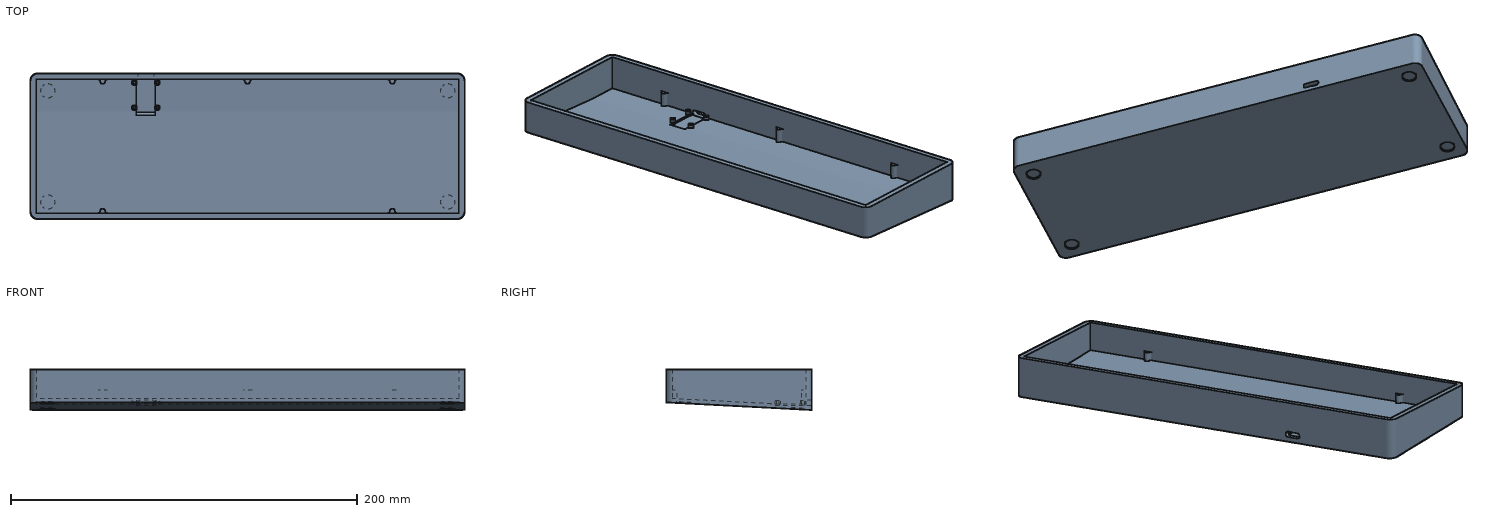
import cadquery as cq
import math

length = 250.89
width = 84.2
height = 23.54
corner_radius = 4.5
wall = 3.55
slope_angle = 3.0

level_floor_z = 3.8
level_floor_front_y = 20.0

post_diameter = 3.0
post_blend_radius = 1.0
post_top_z = 11.8
post_root_depth = 1.0
post_spacing = length / 3
back_post_columns = (-1, 0, 1)
front_post_columns = (-1, 1)

board_x = -58.7
recess_width = 10.8
recess_depth = 1.0
recess_front_y = 17.8
ramp_angle = 30.0

standoff_diameter = 3.0
standoff_hole_diameter = 1.6
standoff_height = 2.0
standoff_spacing_x = 13.2
standoff_spacing_y = 14.5
standoff_center_y = 29.5

port_width = 9.2
port_height = 3.2
port_bottom_z = 2.9

foot_diameter = 8.2
foot_depth = 1.0
foot_inset = 10.0

slope = math.tan(math.radians(slope_angle))
inner_length = length - 2 * wall
inner_back_y = width / 2 - wall
recess_floor_z = level_floor_z - recess_depth


def underside_z(y):
    return (width / 2 - y) * slope


def floor_z(y):
    return level_floor_z + max(0, level_floor_front_y - y) * slope


def extrude_along_x(points, size_x, center_x=0.0):
    """Prism with a closed (y, z) outline, centered on center_x."""
    profile = cq.Workplane("YZ", origin=(center_x, 0, 0)).polyline(points).close()
    return profile.extrude(size_x / 2, both=True)


def make_body():
    side = [
        (width / 2, underside_z(width / 2)),
        (width / 2, height),
        (-width / 2, height),
        (-width / 2, underside_z(-width / 2)),
    ]
    return extrude_along_x(side, length).edges("|Z").fillet(corner_radius)


def make_cavity():
    side = [
        (inner_back_y, height),
        (inner_back_y, level_floor_z),
        (level_floor_front_y, level_floor_z),
        (-inner_back_y, floor_z(-inner_back_y)),
        (-inner_back_y, height),
    ]
    return extrude_along_x(side, inner_length)


def make_back_post(x, floor_level):
    """Half-round post on the back wall, rooted in the wall and the floor."""
    radius = post_diameter / 2
    blend = post_blend_radius
    half_base = radius + blend
    nose_center_y = inner_back_y - blend
    blend_mid = blend * (1 - math.sqrt(0.5))
    root_y = inner_back_y + wall / 2
    root_z = floor_level - post_root_depth
    outline = (
        cq.Workplane("XY", origin=(x, 0, root_z))
        .moveTo(-half_base, root_y)
        .lineTo(-half_base, inner_back_y)
        .threePointArc((-radius - blend_mid, inner_back_y - blend_mid), (-radius, nose_center_y))
        .threePointArc((0, nose_center_y - radius), (radius, nose_center_y))
        .threePointArc((radius + blend_mid, inner_back_y - blend_mid), (half_base, inner_back_y))
        .lineTo(half_base, root_y)
        .close()
    )
    return outline.extrude(post_top_z - root_z)


def make_front_post(x):
    return make_back_post(x, floor_z(-inner_back_y)).mirror("XZ")


def make_recess():
    front_z = floor_z(recess_front_y)
    ramp_length = (front_z - recess_floor_z) / math.tan(math.radians(ramp_angle))
    side = [
        (inner_back_y, front_z),
        (inner_back_y, recess_floor_z),
        (recess_front_y + ramp_length, recess_floor_z),
        (recess_front_y, front_z),
    ]
    return extrude_along_x(side, recess_width, board_x)


def make_standoff_cylinders(diameter, bottom_z):
    """Four cylinders from bottom_z up to the tops of the standoffs."""
    plane = cq.Workplane("XY", origin=(board_x, standoff_center_y, bottom_z))
    places = plane.rect(standoff_spacing_x, standoff_spacing_y, forConstruction=True).vertices()
    return places.circle(diameter / 2).extrude(level_floor_z + standoff_height - bottom_z)


def make_port():
    center_z = port_bottom_z + port_height / 2
    plane = cq.Workplane("XZ", origin=(board_x, inner_back_y, center_z))
    return plane.slot2D(port_width, port_height).extrude(-wall)


def make_foot_recess(x, y):
    """Round pocket square to the sloping underside."""
    cutter = cq.Workplane("XY").circle(foot_diameter / 2).extrude(foot_depth, both=True)
    tilted = cutter.rotate((0, 0, 0), (1, 0, 0), -slope_angle)
    return tilted.translate((x, y, underside_z(y)))


result = make_body().cut(make_cavity())

for column in back_post_columns:
    result = result.union(make_back_post(column * post_spacing, level_floor_z))
for column in front_post_columns:
    result = result.union(make_front_post(column * post_spacing))

result = result.cut(make_recess())
result = result.union(make_standoff_cylinders(standoff_diameter, recess_floor_z))
result = result.cut(make_standoff_cylinders(standoff_hole_diameter, level_floor_z))
result = result.cut(make_port())

foot_x = length / 2 - foot_inset
foot_y = width / 2 - foot_inset
for x_side in (-1, 1):
    for y_side in (-1, 1):
        result = result.cut(make_foot_recess(x_side * foot_x, y_side * foot_y))